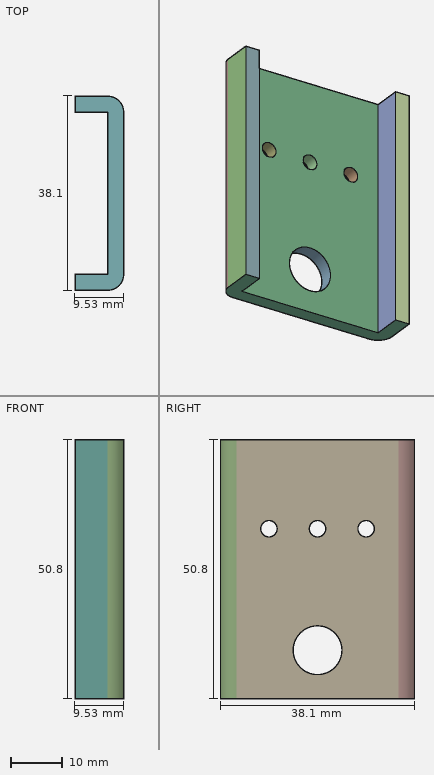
import cadquery as cq

DEPTH = 9.525
WIDTH = 38.1
HEIGHT = 50.8
THICKNESS = 3.175

BEND_RADIUS = THICKNESS

SMALL_HOLE_DIAMETER = 3.175
SMALL_HOLE_SPACING = 9.525
SMALL_HOLE_COUNT = 3
SMALL_HOLE_HEIGHT = 33.3375

LARGE_HOLE_DIAMETER = 9.525
LARGE_HOLE_HEIGHT = 9.525


def make_channel():
    """U-shaped channel along Z, open toward -X, with rounded back edges."""
    block = cq.Workplane("XY").box(DEPTH, WIDTH, HEIGHT, centered=(False, True, False))
    block = block.edges("|Z and >X").fillet(BEND_RADIUS)
    cavity = cq.Workplane("XY").box(
        DEPTH - THICKNESS, WIDTH - 2 * THICKNESS, HEIGHT, centered=(False, True, False)
    )
    return block.cut(cavity)


def make_web_drill(diameter, y, z):
    """Cylinder along X that passes through the web at (y, z)."""
    return cq.Workplane("YZ").center(y, z).circle(diameter / 2).extrude(DEPTH)


result = make_channel()

for index in range(SMALL_HOLE_COUNT):
    hole_y = (index - (SMALL_HOLE_COUNT - 1) / 2) * SMALL_HOLE_SPACING
    result = result.cut(make_web_drill(SMALL_HOLE_DIAMETER, hole_y, SMALL_HOLE_HEIGHT))

result = result.cut(make_web_drill(LARGE_HOLE_DIAMETER, 0, LARGE_HOLE_HEIGHT))